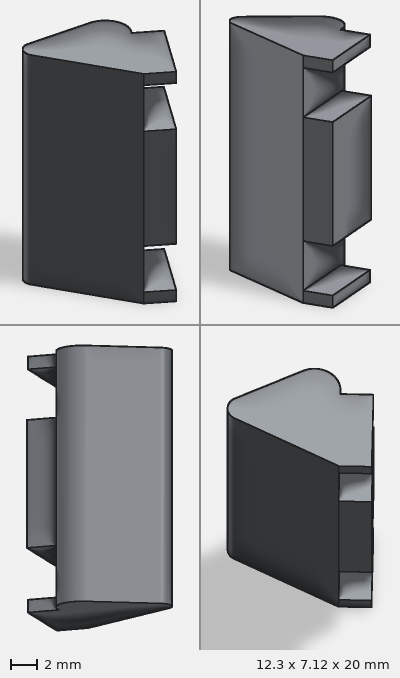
import cadquery as cq
import math

height = 20.0
foot_radius = 1.0
crown_radius = 2.0
crown_center_y = 5.08
corner_x = 10.05
mating_angle = 27.2

tab_reach = 2.5
end_tab_width = 6.5
end_tab_height = 1.0
middle_tab_width = 6.72
middle_tab_height = 10.0


def on_circle(center, radius, angle):
    """Point on a circle at an angle given in radians."""
    return (center[0] + radius * math.cos(angle), center[1] + radius * math.sin(angle))


def make_body():
    """Triangular prism with two rounded edges, all flats tangent to the rounds."""
    lean = math.radians(mating_angle)
    foot = (foot_radius, foot_radius)
    crown_x = corner_x - (crown_radius + crown_center_y * math.sin(lean)) / math.cos(lean)
    crown = (crown_x, crown_center_y)

    dx = crown[0] - foot[0]
    dy = crown[1] - foot[1]
    widening = math.asin((crown_radius - foot_radius) / math.hypot(dx, dy))
    slope_normal = math.atan2(dy, dx) + math.pi / 2 + widening
    foot_middle = (slope_normal + 1.5 * math.pi) / 2
    crown_middle = (slope_normal + lean) / 2

    return (
        cq.Workplane("XY")
        .moveTo(corner_x, 0)
        .lineTo(*on_circle(crown, crown_radius, lean))
        .threePointArc(
            on_circle(crown, crown_radius, crown_middle),
            on_circle(crown, crown_radius, slope_normal),
        )
        .lineTo(*on_circle(foot, foot_radius, slope_normal))
        .threePointArc(on_circle(foot, foot_radius, foot_middle), (foot_radius, 0))
        .close()
        .extrude(height)
    )


def make_tab(width, tab_height, bottom_z):
    """Rectangular tab square to the mating face, starting at the sharp corner."""
    return (
        cq.Workplane("XY")
        .box(tab_reach, width, tab_height, centered=False)
        .rotate((0, 0, 0), (0, 0, 1), mating_angle)
        .translate((corner_x, 0, bottom_z))
    )


result = make_body()
for bottom_z in (0, height - end_tab_height):
    result = result.union(make_tab(end_tab_width, end_tab_height, bottom_z))
middle_tab_bottom = (height - middle_tab_height) / 2
result = result.union(make_tab(middle_tab_width, middle_tab_height, middle_tab_bottom))